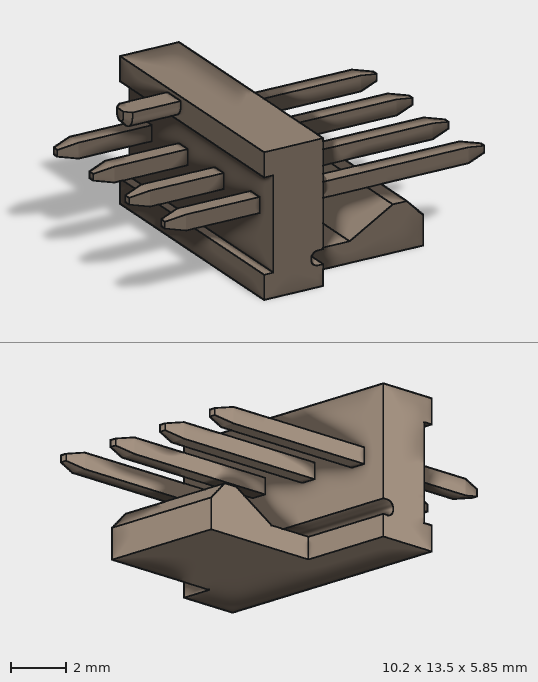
import cadquery as cq

body_width = 10.2
body_depth = 2.5
body_height = 5.85
flange_height = 1.0
recess_depth = 0.39

pin_count = 4
pin_pitch = 2.54
pin_side = 0.63
pin_length = 13.5
pin_front_reach = 3.5
pin_z = 3.31
tip_length = 0.78
tip_side = 0.27

latch_length = 5.01
latch_pin = 2
latch_width = 2 * pin_pitch
arm_thickness = 0.86
hook_height = 1.92
hook_chamfer = 0.7
hook_flat = 0.6
hook_ramp_run = 1.82

slot_height = 0.6
slot_depth = 0.51

peg_pin = 1
peg_length = 2.28
peg_radius = 0.47
peg_flat_side = 0.22
peg_top_z = body_height - 0.18
peg_chamfer = 0.24

overlap = 0.14


def pin_x(index):
    """X position of a pin, counted from the -X side."""
    return (index - (pin_count - 1) / 2) * pin_pitch


def make_body():
    """Block with a full-width front recess and a round-ended slot in the back."""
    body = cq.Workplane("XY").box(body_width, body_depth, body_height, centered=(True, False, False))
    recess_height = body_height - 2 * flange_height
    recess = (
        cq.Workplane("XY")
        .box(body_width, recess_depth, recess_height, centered=(True, False, False))
        .translate((0, 0, flange_height))
    )
    slot_bottom = arm_thickness
    slot_top = slot_bottom + slot_height
    slot_end = body_depth - slot_depth
    slot_radius = slot_height / 2
    slot = (
        cq.Workplane("YZ")
        .moveTo(body_depth, slot_bottom)
        .lineTo(slot_end + slot_radius, slot_bottom)
        .threePointArc((slot_end, slot_bottom + slot_radius), (slot_end + slot_radius, slot_top))
        .lineTo(body_depth, slot_top)
        .close()
        .extrude(body_width / 2, both=True)
    )
    return body.cut(recess).cut(slot)


def make_latch():
    """Hooked arm centred under the third pin."""
    end_y = body_depth + latch_length
    flat_back_y = end_y - hook_chamfer
    flat_front_y = flat_back_y - hook_flat
    outline = [
        (body_depth - overlap, 0),
        (end_y, 0),
        (end_y, hook_height - hook_chamfer),
        (flat_back_y, hook_height),
        (flat_front_y, hook_height),
        (flat_front_y - hook_ramp_run, arm_thickness),
        (body_depth - overlap, arm_thickness),
    ]
    latch = cq.Workplane("YZ").polyline(outline).close().extrude(latch_width / 2, both=True)
    return latch.translate((pin_x(latch_pin), 0, 0))


def make_pin():
    """Square pin with a tapered tip at each end."""
    shank_length = pin_length - 2 * tip_length
    shank = cq.Workplane("XZ").rect(pin_side, pin_side).extrude(-shank_length)
    tip = (
        cq.Workplane("XZ")
        .rect(pin_side, pin_side)
        .workplane(offset=tip_length)
        .rect(tip_side, tip_side)
        .loft(ruled=True)
    )
    back_tip = tip.mirror("XZ").translate((0, shank_length, 0))
    return shank.union(tip).union(back_tip).translate((0, tip_length - pin_front_reach, pin_z))


def make_peg():
    """Peg above the second pin, chamfered at its free end except along the flat top."""
    shoulder_z = peg_top_z - peg_flat_side

    def section(y, radius):
        return (
            cq.Workplane("XZ", origin=(pin_x(peg_pin), y, shoulder_z))
            .moveTo(-radius, peg_flat_side)
            .lineTo(-radius, 0)
            .threePointArc((0, -radius), (radius, 0))
            .lineTo(radius, peg_flat_side)
            .close()
        )

    straight_length = peg_length - peg_chamfer
    shaft = section(overlap, peg_radius).extrude(straight_length + overlap)
    end_radius = peg_radius - peg_chamfer
    shaft_wire = section(-straight_length, peg_radius).val()
    end_wire = section(-peg_length, end_radius).val()
    nose = cq.Workplane("XY").add(cq.Solid.makeLoft([shaft_wire, end_wire], True))
    return shaft.union(nose)


result = make_body().union(make_latch()).union(make_peg())
pin = make_pin()
for index in range(pin_count):
    result = result.union(pin.translate((pin_x(index), 0, 0)))